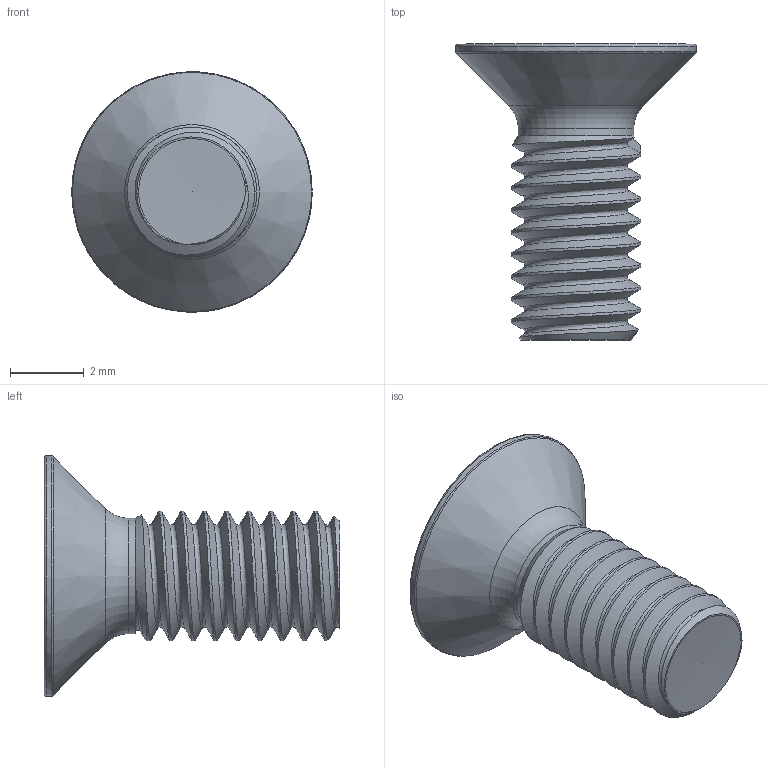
import cadquery as cq
import math

HEAD_DIAMETER = 6.5
SCREW_LENGTH = 8.0
THREAD_DIAMETER = 3.5
PITCH = 0.6

HEAD_RADIUS = HEAD_DIAMETER / 2
HEAD_RIM_DEPTH = 0.23
HEAD_EDGE_FILLET = 0.065
CONE_ANGLE = math.radians(45)
NECK_RADIUS = 1.56
NECK_FILLET = 0.9
NECK_END = 2.47

MAJOR_RADIUS = THREAD_DIAMETER / 2
FLANK_ANGLE = math.radians(30)
SHARP_HEIGHT = PITCH / 2 / math.tan(FLANK_ANGLE)
CREST_WIDTH = PITCH / 8
ROOT_FILLET = SHARP_HEIGHT / 6
ROOT_RADIUS = MAJOR_RADIUS - SHARP_HEIGHT * 17 / 24
GROOVE_OVERCUT = 0.05
FULL_DEPTH_START = 2.69
RUNOUT_TURNS = 0.75
RUNOUT_RISE = 0.24

START_CHAMFER = 0.30
TIP_RADIUS = 1.49
TIP_CHAMFER_LENGTH = 0.36
DISH_RADIUS = 1.445
DISH_DEPTH = 0.03


def make_head():
    """Countersunk head with its rim, cone and filleted neck."""
    fillet_rise = NECK_FILLET * (1 - math.cos(CONE_ANGLE))
    cone_end_radius = NECK_RADIUS + fillet_rise
    cone_end = HEAD_RIM_DEPTH + (HEAD_RADIUS - cone_end_radius) / math.tan(CONE_ANGLE)
    fillet_end = cone_end + NECK_FILLET * math.sin(CONE_ANGLE)
    half_angle = CONE_ANGLE / 2
    fillet_middle = (
        NECK_RADIUS + NECK_FILLET * (1 - math.cos(half_angle)),
        fillet_end - NECK_FILLET * math.sin(half_angle),
    )
    head = (
        cq.Workplane("XZ")
        .lineTo(HEAD_RADIUS, 0)
        .lineTo(HEAD_RADIUS, HEAD_RIM_DEPTH)
        .lineTo(cone_end_radius, cone_end)
        .threePointArc(fillet_middle, (NECK_RADIUS, fillet_end))
        .lineTo(NECK_RADIUS, NECK_END)
        .lineTo(0, NECK_END)
        .close()
        .revolve(360, (0, 0, 0), (0, 1, 0))
    )
    widest_edges = cq.selectors.RadiusNthSelector(-1)
    return head.edges(widest_edges).fillet(HEAD_EDGE_FILLET)


def make_shank_blank():
    """Unthreaded shank at the crest diameter, chamfered at both ends, with a dished tip."""
    return (
        cq.Workplane("XZ")
        .moveTo(0, NECK_END)
        .lineTo(NECK_RADIUS, NECK_END)
        .lineTo(MAJOR_RADIUS, NECK_END + START_CHAMFER)
        .lineTo(MAJOR_RADIUS, SCREW_LENGTH - TIP_CHAMFER_LENGTH)
        .lineTo(TIP_RADIUS, SCREW_LENGTH)
        .lineTo(DISH_RADIUS, SCREW_LENGTH)
        .lineTo(0, SCREW_LENGTH - DISH_DEPTH)
        .close()
        .revolve(360, (0, 0, 0), (0, 1, 0))
    )


def groove_section(axial_place, lift):
    """Cross-section of the thread groove on +X, moved outwards by the lift."""
    outer_radius = MAJOR_RADIUS + GROOVE_OVERCUT
    outer_half_width = (PITCH - CREST_WIDTH) / 2 + GROOVE_OVERCUT * math.tan(FLANK_ANGLE)
    root_half_width = ROOT_FILLET * math.cos(FLANK_ANGLE)
    flank_end_radius = ROOT_RADIUS + ROOT_FILLET * (1 - math.sin(FLANK_ANGLE))
    return (
        cq.Workplane("XZ")
        .moveTo(outer_radius + lift, axial_place - outer_half_width)
        .lineTo(flank_end_radius + lift, axial_place - root_half_width)
        .threePointArc(
            (ROOT_RADIUS + lift, axial_place),
            (flank_end_radius + lift, axial_place + root_half_width),
        )
        .lineTo(outer_radius + lift, axial_place + outer_half_width)
        .close()
    )


def make_groove_turn(axial_place):
    """One full-depth right-hand turn of the groove, starting on +X."""
    helix = cq.Wire.makeHelix(PITCH, PITCH, MAJOR_RADIUS, cq.Vector(0, 0, axial_place))
    return groove_section(axial_place, 0).sweep(cq.Workplane(helix), isFrenet=True)


def make_groove_runout():
    """Conical stretch of the groove that sinks from the neck to full depth on +X."""
    length = RUNOUT_TURNS * PITCH
    start = FULL_DEPTH_START - length
    taper = math.atan(RUNOUT_RISE / length)
    helix = cq.Wire.makeHelix(
        PITCH / math.cos(taper),
        length / math.cos(taper),
        MAJOR_RADIUS + RUNOUT_RISE,
        cq.Vector(0, 0, start),
        angle=-math.degrees(taper),
    )
    runout = groove_section(start, RUNOUT_RISE).sweep(cq.Workplane(helix), isFrenet=True)
    return runout.rotate((0, 0, 0), (0, 0, 1), -360 * RUNOUT_TURNS)


def make_threaded_shank():
    """Shank with the groove cut turn by turn until it runs out past the tip."""
    shank = make_shank_blank().cut(make_groove_runout())
    turns = math.ceil((SCREW_LENGTH + PITCH - FULL_DEPTH_START) / PITCH)
    for turn in range(turns):
        shank = shank.cut(make_groove_turn(FULL_DEPTH_START + turn * PITCH))
    return shank


screw = make_head().union(make_threaded_shank())
result = screw.rotate((0, 0, 0), (1, 0, 0), 90)